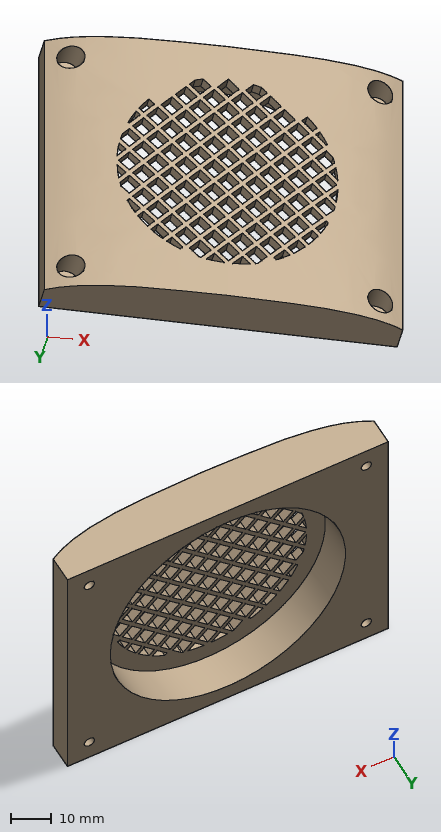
import cadquery as cq
import math

width = 89.2
height = 74.5
depth = 13.5
edge_depth = 7.3

crown_points = [(22.0, 12.85), (30.0, 11.95), (37.4, 10.35)]

screw_spacing_x = 77.0
screw_spacing_z = 62.5
screw_diameter = 2.8
head_diameter = 6.6
head_floor = 3.0

recess_diameter = 65.4
recess_depth = 10.3

grille_diameter = 55.0
grille_diagonal_pitch = 7.0
opening_pitch = grille_diagonal_pitch / math.sqrt(2)
bar_width = 1.2
opening_size = opening_pitch - bar_width
grille_angle = 45.0
grid_offset = 0.34
half_solid_cells = [(0, 5), (1, 5), (3, 4), (-6, 2), (-6, -3)]
solid_cells = half_solid_cells + [(row, column) for column, row in half_solid_cells]


def front_cylinder(diameter, rear, front):
    """Cylinder along Y between two depths measured from the rear face."""
    return cq.Workplane("XZ", origin=(0, -rear, 0)).circle(diameter / 2).extrude(front - rear)


def make_body():
    """Plate with a crowned front made of two mirrored curves."""
    right_points = [(x, -point_depth) for x, point_depth in crown_points]
    left_points = [(-x, y) for x, y in reversed(right_points)]
    half_width = width / 2
    return (
        cq.Workplane("XY", origin=(0, 0, -height / 2))
        .moveTo(half_width, 0)
        .lineTo(-half_width, 0)
        .lineTo(-half_width, -edge_depth)
        .spline(left_points + [(0, -depth)], includeCurrent=True)
        .spline(right_points + [(half_width, -edge_depth)], includeCurrent=True)
        .close()
        .extrude(height)
    )


def make_screw_holes():
    """Through holes with deep head pockets, one set in each corner."""
    hole = front_cylinder(screw_diameter, 0, depth)
    pocket = front_cylinder(head_diameter, head_floor, depth)
    corner_cut = hole.union(pocket)
    cuts = cq.Workplane("XZ")
    for x in (-screw_spacing_x / 2, screw_spacing_x / 2):
        for z in (-screw_spacing_z / 2, screw_spacing_z / 2):
            cuts.add(corner_cut.translate((x, 0, z)))
    return cuts.combine()


def make_grille_openings():
    """Square openings on a turned grid, trimmed to the round grille outline."""
    cell_count = math.ceil(grille_diameter / 2 / opening_pitch)
    cells = range(-cell_count, cell_count)
    centers = [
        ((column + 0.5) * opening_pitch, (row + 0.5) * opening_pitch)
        for column in cells
        for row in cells
        if (column, row) not in solid_cells
    ]
    squares = (
        cq.Workplane("XZ")
        .pushPoints(centers)
        .rect(opening_size, opening_size)
        .extrude(depth)
        .rotate((0, 0, 0), (0, 1, 0), -grille_angle)
        .translate((0, 0, grid_offset))
    )
    return squares.intersect(front_cylinder(grille_diameter, 0, depth))


result = (
    make_body()
    .cut(front_cylinder(recess_diameter, 0, recess_depth))
    .cut(make_screw_holes())
    .cut(make_grille_openings())
    .solids()
)